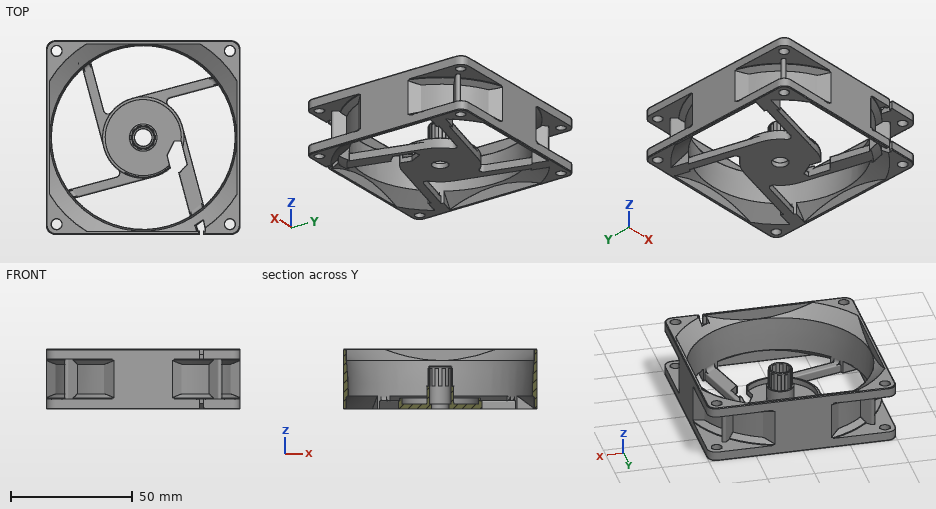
import cadquery as cq
import math

QUARTER_TURN = 90.0

SIDE = 80.0
HEIGHT = 24.8
CORNER_RADIUS = 3.8
EDGE_CHAMFER = 0.35
FLANGE = 4.15
RIM_OPENING = 77.4

HOLE_SPACING = 71.5
HOLE_DIAMETER = 4.4

FLARE_RADIUS = 45.2
INLET_RADIUS = 38.65
INLET_DEPTH = 4.8
THROAT_RADIUS = 37.9
OUTLET_DEPTH = 5.5
DUCT_BULGE = 0.15

DUCT_OUTER_RADIUS = 39.4
SHOULDER_RADIUS = 42.0
SHOULDER_STEP = 0.4
SHOULDER_CONE = 1.75
POCKET_MOUTH = 12.0
RIB_THICKNESS = 2.0
RIB_END = 45.5

HUB_RADIUS = 16.8
HUB_RECESS_RADIUS = 15.7
HUB_FLOOR = 2.2
HUB_HEIGHT = 4.6
HUB_FILLET = 0.5
STRUT_COUNT = 4
STRUT_HEIGHT = 3.5
STRUT_FILLET = 0.6
STRUT_ANGLE = 15.0
STRUT_WIDTH = 3.9
CABLE_STRUT_WIDTH = 6.4
STRUT_ROOT_FILLET = 1.8
FOOT_MARGIN = 1.1
CABLE_FOOT_RADIUS = 38.5
CABLE_FOOT_TOP_RADIUS = 46.5
FOOT_FILLET = 1.5

CABLE_OPENING = [
    (12.8, -1.45),
    (15.6, -1.45),
    (18.1, -11.2),
    (15.1, -14.3),
    (11.9, -15.5),
    (9.9, -7.35),
]

NOTCH_CHAMBER = [
    (21.3, -36.2),
    (24.8, -34.1),
    (25.7, -38.5),
    (22.0, -38.5),
]
NOTCH_STEP = 0.6
NOTCH_SLOT_LEFT = 23.3
NOTCH_SLOT_RIGHT = 24.8
NOTCH_SLOT_CHAMFER = 0.6

TUBE_RADIUS = 5.65
TUBE_FOOT_FILLET = 0.5
TUBE_SHOULDER_Z = 9.5
NECK_RADIUS = 4.8
TUBE_TOP = 17.8
TUBE_TOP_CHAMFER = 0.35
SPLINE_RADIUS = 5.05
SPLINE_COUNT = 10
SPLINE_TOP = 16.8
BEARING_BORE_RADIUS = 4.4
THROUGH_BORE_RADIUS = 3.6

OVERLAP = 1.0
WALL_OVERLAP = 0.25


def cylinder(radius, bottom, top):
    return cq.Workplane("XY").workplane(offset=bottom).circle(radius).extrude(top - bottom)


def revolved(profile):
    return profile.close().revolve(360, (0, 0, 0), (0, 1, 0))


def prism(points, bottom, top):
    return cq.Workplane("XY").workplane(offset=bottom).polyline(points).close().extrude(top - bottom)


def duct_opening():
    """Flared air passage, its wide ends squared off by the rim opening."""
    inlet_z = HEIGHT - INLET_DEPTH
    middle = (
        (INLET_RADIUS + THROAT_RADIUS) / 2 - DUCT_BULGE,
        (inlet_z + OUTLET_DEPTH) / 2,
    )
    passage = revolved(
        cq.Workplane("YZ")
        .moveTo(0, 0)
        .lineTo(FLARE_RADIUS, 0)
        .lineTo(THROAT_RADIUS, OUTLET_DEPTH)
        .threePointArc(middle, (INLET_RADIUS, inlet_z))
        .lineTo(FLARE_RADIUS, HEIGHT)
        .lineTo(0, HEIGHT)
    )
    square = cq.Workplane("XY").rect(RIM_OPENING, RIM_OPENING).extrude(HEIGHT)
    return passage.intersect(square)


def duct_outside():
    """Outer skin of the duct between the flanges, coned out to a shoulder at each flange."""
    low_shoulder = FLANGE + SHOULDER_STEP
    high_shoulder = HEIGHT - low_shoulder
    return revolved(
        cq.Workplane("XZ")
        .moveTo(0, 0)
        .lineTo(SHOULDER_RADIUS, 0)
        .lineTo(SHOULDER_RADIUS, low_shoulder)
        .lineTo(DUCT_OUTER_RADIUS, low_shoulder + SHOULDER_CONE)
        .lineTo(DUCT_OUTER_RADIUS, high_shoulder - SHOULDER_CONE)
        .lineTo(SHOULDER_RADIUS, high_shoulder)
        .lineTo(SHOULDER_RADIUS, HEIGHT)
        .lineTo(0, HEIGHT)
    )


def corner_pockets():
    """The four pockets, with the duct skin and the diagonal ribs left standing."""
    half_side = SIDE / 2
    inner_face = (half_side + POCKET_MOUTH) / math.sqrt(2)
    outer_limit = SIDE
    clear_height = HEIGHT - 2 * FLANGE
    level = cq.Workplane("XY").workplane(offset=FLANGE)
    pocket = level.center((inner_face + outer_limit) / 2, 0).rect(outer_limit - inner_face, SIDE)
    pocket = pocket.extrude(clear_height)
    rib = level.center(RIB_END / 2, 0).slot2D(RIB_END, RIB_THICKNESS).extrude(clear_height)
    pocket = pocket.cut(rib).cut(duct_outside())
    pockets = cq.Workplane("XY")
    for corner in range(4):
        pockets = pockets.add(pocket.rotate((0, 0, 0), (0, 0, 1), QUARTER_TURN * (corner + 0.5)))
    return pockets.combine()


def strut_width(index):
    """The last strut, which carries the cable, is wider than the others."""
    return CABLE_STRUT_WIDTH if index == STRUT_COUNT - 1 else STRUT_WIDTH


def strut_band(index, margin, height):
    """Bar whose outer side is tangent to the hub, widened by the margin on each side."""
    width = strut_width(index) + 2 * margin
    length = FLARE_RADIUS
    outer_side = HUB_RADIUS + margin
    bar = cq.Workplane("XY").center(length / 2, outer_side - width / 2).rect(length, width).extrude(height)
    return bar.rotate((0, 0, 0), (0, 0, 1), STRUT_ANGLE + QUARTER_TURN * index)


def strut_feet():
    """Blocks that fill the outlet flare behind the strut ends; the cable strut's foot is tapered."""
    ring = cylinder(FLARE_RADIUS, 0, OUTLET_DEPTH).cut(cylinder(THROAT_RADIUS, 0, OUTLET_DEPTH))
    tapered = revolved(
        cq.Workplane("XZ")
        .moveTo(0, 0)
        .lineTo(CABLE_FOOT_RADIUS, 0)
        .lineTo(CABLE_FOOT_TOP_RADIUS, OUTLET_DEPTH)
        .lineTo(0, OUTLET_DEPTH)
    )
    feet = cq.Workplane("XY")
    for index in range(STRUT_COUNT):
        foot = strut_band(index, FOOT_MARGIN, OUTLET_DEPTH).intersect(ring)
        if index == STRUT_COUNT - 1:
            foot = foot.intersect(tapered)
        feet = feet.add(foot)
    return feet.combine()


def strut_end_fillets():
    """Concave fillets from the strut tops up to the duct wall."""
    wall = THROAT_RADIUS + WALL_OVERLAP
    start = THROAT_RADIUS - FOOT_FILLET
    top = STRUT_HEIGHT + FOOT_FILLET
    sag = FOOT_FILLET * math.sqrt(0.5)
    ring = revolved(
        cq.Workplane("XZ")
        .moveTo(start, STRUT_HEIGHT - OVERLAP)
        .lineTo(start, STRUT_HEIGHT)
        .threePointArc((start + sag, top - sag), (THROAT_RADIUS, top))
        .lineTo(wall, top)
        .lineTo(wall, STRUT_HEIGHT - OVERLAP)
    )
    fillets = cq.Workplane("XY")
    for index in range(STRUT_COUNT):
        fillets = fillets.add(strut_band(index, -STRUT_FILLET, HEIGHT).intersect(ring))
    return fillets.combine()


def strut_root(index):
    """Point where the inner side of a strut leaves the hub."""
    offset = HUB_RADIUS - strut_width(index)
    along = math.sqrt(HUB_RADIUS**2 - offset**2)
    turn = math.radians(STRUT_ANGLE + QUARTER_TURN * index)
    return (
        along * math.cos(turn) - offset * math.sin(turn),
        along * math.sin(turn) + offset * math.cos(turn),
        STRUT_HEIGHT / 2,
    )


def spider():
    """Hub dish and its four tangential struts."""
    body = cylinder(HUB_RADIUS, 0, STRUT_HEIGHT)
    for index in range(STRUT_COUNT):
        body = body.union(strut_band(index, 0, STRUT_HEIGHT))
    for index in range(STRUT_COUNT - 1):
        root = body.edges("|Z").edges(cq.NearestToPointSelector(strut_root(index)))
        body = root.fillet(STRUT_ROOT_FILLET)
    body = body.faces(">Z").edges().fillet(STRUT_FILLET)
    body = body.union(cylinder(HUB_RADIUS, 0, HUB_HEIGHT).faces(">Z").edges().fillet(HUB_FILLET))
    body = body.cut(cylinder(HUB_RECESS_RADIUS, HUB_FLOOR, HUB_HEIGHT))
    body = body.cut(prism(CABLE_OPENING, 0, HUB_HEIGHT))
    return body.intersect(cylinder(THROAT_RADIUS + WALL_OVERLAP, 0, HUB_HEIGHT))


def bearing_tube():
    """Stepped tube with a filleted foot, a splined neck and a stepped bore."""
    foot_radius = TUBE_RADIUS + TUBE_FOOT_FILLET
    foot_top = HUB_FLOOR + TUBE_FOOT_FILLET
    sag = TUBE_FOOT_FILLET * math.sqrt(0.5)
    tube = revolved(
        cq.Workplane("XZ")
        .moveTo(0, 0)
        .lineTo(foot_radius, 0)
        .lineTo(foot_radius, HUB_FLOOR)
        .threePointArc((foot_radius - sag, foot_top - sag), (TUBE_RADIUS, foot_top))
        .lineTo(TUBE_RADIUS, TUBE_SHOULDER_Z)
        .lineTo(NECK_RADIUS, TUBE_SHOULDER_Z)
        .lineTo(NECK_RADIUS, TUBE_TOP - TUBE_TOP_CHAMFER)
        .lineTo(NECK_RADIUS - TUBE_TOP_CHAMFER, TUBE_TOP)
        .lineTo(0, TUBE_TOP)
    )
    return tube.union(splines())


def splines():
    """Ribs around the neck, as wide as the gaps between them."""
    ring = cylinder(SPLINE_RADIUS, TUBE_SHOULDER_Z, SPLINE_TOP)
    half_angle = math.pi / SPLINE_COUNT / 2
    reach = 2 * SPLINE_RADIUS
    spread = reach * math.tan(half_angle)
    wedge = prism([(0, 0), (reach, -spread), (reach, spread)], TUBE_SHOULDER_Z, SPLINE_TOP)
    ribs = cylinder(NECK_RADIUS, TUBE_SHOULDER_Z, SPLINE_TOP)
    for index in range(SPLINE_COUNT):
        turned = wedge.rotate((0, 0, 0), (0, 0, 1), 360 / SPLINE_COUNT * index)
        ribs = ribs.union(ring.intersect(turned))
    return ribs


def cable_notch():
    """Chamber in the flanges, opened to the -Y side by a narrower slot with chamfered edges."""
    left_back, right_back, right_front, left_front = NOTCH_CHAMBER
    low_chamber = [
        (left_back[0] + NOTCH_STEP, left_back[1]),
        right_back,
        right_front,
        (left_front[0] + NOTCH_STEP, left_front[1]),
    ]
    middle = HEIGHT / 2
    chamber = prism(low_chamber, 0, middle).union(prism(NOTCH_CHAMBER, middle, HEIGHT))
    slot = (
        cq.Workplane("XZ", origin=(0, left_front[1] + OVERLAP, 0))
        .polyline(
            [
                (NOTCH_SLOT_LEFT - NOTCH_SLOT_CHAMFER, 0),
                (NOTCH_SLOT_LEFT, NOTCH_SLOT_CHAMFER),
                (NOTCH_SLOT_LEFT, HEIGHT - NOTCH_SLOT_CHAMFER),
                (NOTCH_SLOT_LEFT - NOTCH_SLOT_CHAMFER, HEIGHT),
                (NOTCH_SLOT_RIGHT + NOTCH_SLOT_CHAMFER, HEIGHT),
                (NOTCH_SLOT_RIGHT, HEIGHT - NOTCH_SLOT_CHAMFER),
                (NOTCH_SLOT_RIGHT, NOTCH_SLOT_CHAMFER),
                (NOTCH_SLOT_RIGHT + NOTCH_SLOT_CHAMFER, 0),
            ]
        )
        .close()
        .extrude(SIDE / 2)
    )
    return chamber.union(slot)


def frame():
    """Square housing with its duct, strut feet, corner pockets, screw holes and cable notch."""
    body = cq.Workplane("XY").rect(SIDE, SIDE).extrude(HEIGHT)
    body = body.edges("|Z").fillet(CORNER_RADIUS)
    body = body.faces("<Z or >Z").edges().chamfer(EDGE_CHAMFER)
    body = body.cut(duct_opening()).union(strut_feet())
    body = body.cut(corner_pockets())
    holes = cq.Workplane("XY").rect(HOLE_SPACING, HOLE_SPACING, forConstruction=True).vertices()
    body = body.cut(holes.circle(HOLE_DIAMETER / 2).extrude(HEIGHT))
    return body.cut(cable_notch())


bore = cylinder(THROUGH_BORE_RADIUS, 0, TUBE_TOP).union(cylinder(BEARING_BORE_RADIUS, HUB_FLOOR, TUBE_TOP))
result = frame().union(spider()).union(strut_end_fillets()).union(bearing_tube()).cut(bore)